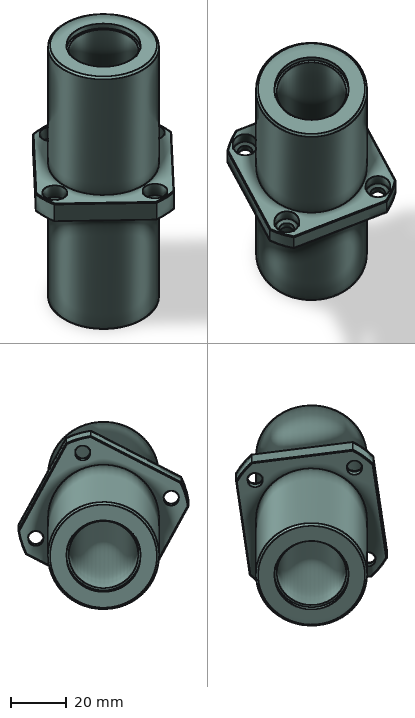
import cadquery as cq

length = 112.0
body_diameter = 40.0
body_chamfer = 0.8

bore_diameter = 25.0
recess_diameter = 26.7
recess_depth = 2.1

flange_diameter = 61.9
flange_width = 49.8
flange_thickness = 8.0
flange_chamfer = 0.3

bolt_circle_diameter = 51.0
bolt_count = 4
bolt_hole_diameter = 5.5
counterbore_diameter = 9.0
counterbore_depth = 5.2


def make_body():
    body = cq.Workplane("XY").circle(body_diameter / 2).extrude(length / 2, both=True)
    return body.faces("<Z or >Z").chamfer(body_chamfer)


def make_flange():
    disc = cq.Workplane("XY").circle(flange_diameter / 2).extrude(flange_thickness / 2, both=True)
    square = cq.Workplane("XY").box(flange_width, flange_width, flange_thickness)
    flange = disc.intersect(square.rotate((0, 0, 0), (0, 0, 1), 45))
    flange = flange.faces("<Z or >Z").chamfer(flange_chamfer)
    return (
        flange.faces(">Z").workplane(origin=(0, 0, 0))
        .polarArray(bolt_circle_diameter / 2, 0, 360, bolt_count)
        .cboreHole(bolt_hole_diameter, counterbore_diameter, counterbore_depth)
    )


def make_bore():
    """Solid to remove: the through bore with a wider recess at each end."""
    bore = cq.Workplane("XY").circle(bore_diameter / 2).extrude(length / 2, both=True)
    for end_sign in (1, -1):
        recess = (
            cq.Workplane("XY", origin=(0, 0, end_sign * length / 2))
            .circle(recess_diameter / 2)
            .extrude(-end_sign * recess_depth)
        )
        bore = bore.union(recess)
    return bore


result = make_body().union(make_flange()).cut(make_bore())